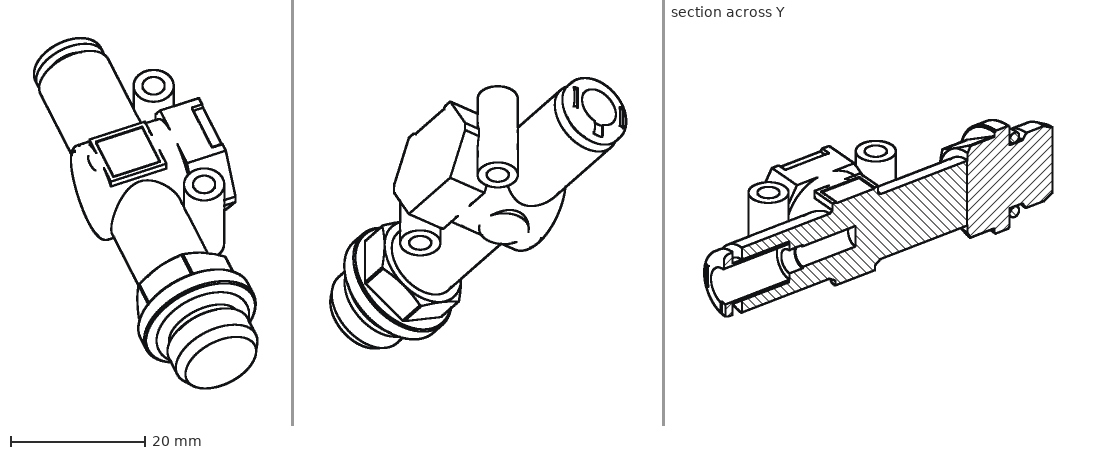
import cadquery as cq
import math


TOTAL_LENGTH = 61.3
TUBE_START = 3.4
NUT_START = 45.4
FLANGE_START = 50.45
GROOVE_START = 53.3
CROSS_X = 24.5

BUSHING_FLANGE_D = 11.0
BUSHING_FACE_D = 9.0
BUSHING_FLANGE_LENGTH = 1.7
BUSHING_NECK_D = 7.2
BUSHING_BORE_D = 6.2
BUSHING_LENGTH = 12.25
FACE_POCKET_DEPTH = 0.3
FACE_SLOT_WIDTH = 0.7
FACE_SLOT_LENGTH = 3.6
KEY_NOTCH_WIDTH = 1.55

TUBE_D = 11.4
SEAT_D = 4.0
SEAT_LENGTH = 2.45
PASSAGE_D = 3.5

BODY_HEIGHT = 14.5
BARREL_D = 14.85
BARREL_FRONT_Y = -6.45
BARREL_RIM_RADIUS = 0.8
UNDERSIDE_BOSS_D = 7.4

BLOCK_FRONT_Y = 7.35
BLOCK_BACK_Y = 13.6
BLOCK_WIDTH = 18.4
BLOCK_TOP_WIDTH = 10.65
BLOCK_SIDE_FLAT = 1.35
RECESS_WIDTH = 8.1
RECESS_LENGTH = 1.65
RECESS_DEPTH = 0.35

PLATE_WIDTH = 8.5
PLATE_LENGTH = 8.95
PLATE_THICKNESS = 1.35
PLATE_BORDER = 0.75
LABEL_DEPTH = 0.2

LUG_D = 6.0
LUG_HOLE_D = 3.3
LUG_SPACING = 20.0
LUG_Y = 8.2

HEX_ACROSS_FLATS = 14.05
HEX_CORNER_D = 16.05
HEX_FACE_D = 14.0
HEX_CHAMFER_LENGTH = 0.55
FLANGE_D = 18.0
FLANGE_CHAMFER = 0.25
GROOVE_D = 11.1
GROOVE_LENGTH = 2.4
THREAD_D = 13.2
THREAD_RAMP = 0.7
THREAD_TIP_D = 11.4
THREAD_TIP_LENGTH = 1.65

ORING_SECTION_D = 1.85

HALF_HEIGHT = BODY_HEIGHT / 2


def rod(start, end, diameter):
    """Cylinder on the flow axis between two X positions."""
    return cq.Workplane("YZ", origin=(start, 0, 0)).circle(diameter / 2).extrude(end - start)


def box(center_x, center_y, center_z, length_x, length_y, length_z):
    """Axis-aligned box placed by its centre."""
    return cq.Workplane("XY").box(length_x, length_y, length_z).translate((center_x, center_y, center_z))


def make_bushing():
    rim_radius = (BUSHING_FLANGE_D - BUSHING_FACE_D) / 2
    bushing = rod(0, BUSHING_FLANGE_LENGTH, BUSHING_FLANGE_D).faces("<X").edges().fillet(rim_radius)
    bushing = bushing.union(rod(0, BUSHING_LENGTH, BUSHING_NECK_D))
    bushing = bushing.cut(rod(0, BUSHING_LENGTH, BUSHING_BORE_D))

    pocket_x = FACE_POCKET_DEPTH / 2
    slot_y = (BUSHING_FACE_D - FACE_SLOT_WIDTH) / 2
    for side in (-1, 1):
        bushing = bushing.cut(
            box(pocket_x, side * slot_y, 0, FACE_POCKET_DEPTH, FACE_SLOT_WIDTH, FACE_SLOT_LENGTH)
        )
    notch_height = BUSHING_FLANGE_D / 2
    return bushing.cut(
        box(pocket_x, 0, -notch_height / 2, FACE_POCKET_DEPTH, KEY_NOTCH_WIDTH, notch_height)
    )


def make_barrel():
    """Barrel across the tube, with flats on its top and bottom and a boss underneath."""
    length = BLOCK_FRONT_Y - BARREL_FRONT_Y
    barrel = (
        cq.Workplane("XZ", origin=(CROSS_X, BLOCK_FRONT_Y, 0))
        .circle(BARREL_D / 2)
        .extrude(length)
        .faces("<Y").edges().fillet(BARREL_RIM_RADIUS)
    )
    barrel = barrel.intersect(box(CROSS_X, 0, 0, 2 * BARREL_D, 4 * length, BODY_HEIGHT))
    boss = cq.Workplane("XY", origin=(CROSS_X, 0, 0)).circle(UNDERSIDE_BOSS_D / 2).extrude(-HALF_HEIGHT)
    return barrel.union(boss)


def make_block():
    """Six-sided block with blunt side corners and a shallow recess at its top back edge."""
    half_width = BLOCK_WIDTH / 2
    half_top = BLOCK_TOP_WIDTH / 2
    half_flat = BLOCK_SIDE_FLAT / 2
    block = (
        cq.Workplane("XZ", origin=(CROSS_X, BLOCK_BACK_Y, 0))
        .moveTo(half_top, HALF_HEIGHT)
        .lineTo(half_width, half_flat)
        .lineTo(half_width, -half_flat)
        .lineTo(half_top, -HALF_HEIGHT)
        .lineTo(-half_top, -HALF_HEIGHT)
        .lineTo(-half_width, -half_flat)
        .lineTo(-half_width, half_flat)
        .lineTo(-half_top, HALF_HEIGHT)
        .close()
        .extrude(BLOCK_BACK_Y - BLOCK_FRONT_Y)
    )
    half_recess = RECESS_WIDTH / 2
    recess = (
        cq.Workplane("XZ", origin=(CROSS_X, BLOCK_BACK_Y, HALF_HEIGHT))
        .moveTo(-half_recess, 0)
        .lineTo(RECESS_DEPTH - half_recess, -RECESS_DEPTH)
        .lineTo(half_recess - RECESS_DEPTH, -RECESS_DEPTH)
        .lineTo(half_recess, 0)
        .close()
        .extrude(RECESS_LENGTH)
    )
    return block.cut(recess)


def make_label_plate():
    return box(CROSS_X, 0, HALF_HEIGHT - PLATE_THICKNESS / 2, PLATE_WIDTH, PLATE_LENGTH, PLATE_THICKNESS)


def make_label_recess():
    """Shallow rectangular recess that leaves a border around the label plate."""
    label_width = PLATE_WIDTH - 2 * PLATE_BORDER
    label_length = PLATE_LENGTH - 2 * PLATE_BORDER
    return box(CROSS_X, 0, HALF_HEIGHT - LABEL_DEPTH / 2, label_width, label_length, LABEL_DEPTH)


def make_lug_cylinders(diameter):
    """Pair of vertical cylinders at the lug centres, over the full body height."""
    return (
        cq.Workplane("XY", origin=(CROSS_X, LUG_Y, -HALF_HEIGHT))
        .pushPoints([(-LUG_SPACING / 2, 0), (LUG_SPACING / 2, 0)])
        .circle(diameter / 2)
        .extrude(BODY_HEIGHT)
    )


def make_housing():
    housing = rod(TUBE_START, NUT_START, TUBE_D).union(make_barrel()).union(make_block())
    housing = housing.union(make_label_plate()).cut(make_label_recess())
    housing = housing.union(make_lug_cylinders(LUG_D)).cut(make_lug_cylinders(LUG_HOLE_D))

    seat_end = BUSHING_LENGTH + SEAT_LENGTH
    housing = housing.cut(rod(TUBE_START, BUSHING_LENGTH, BUSHING_NECK_D))
    housing = housing.cut(rod(BUSHING_LENGTH, seat_end, SEAT_D))
    return housing.cut(rod(seat_end, CROSS_X, PASSAGE_D))


def make_hex():
    """Hexagon with corners up and down, trimmed to a corner diameter and a chamfered end."""
    corner_to_corner = HEX_ACROSS_FLATS / math.cos(math.pi / 6)
    hexagon = (
        cq.Workplane("YZ", origin=(NUT_START, 0, 0))
        .transformed(rotate=(0, 0, 90))
        .polygon(6, corner_to_corner)
        .extrude(FLANGE_START - NUT_START)
    )
    envelope = (
        cq.Workplane("XY")
        .moveTo(NUT_START, 0)
        .lineTo(NUT_START, HEX_FACE_D / 2)
        .lineTo(NUT_START + HEX_CHAMFER_LENGTH, HEX_CORNER_D / 2)
        .lineTo(FLANGE_START, HEX_CORNER_D / 2)
        .lineTo(FLANGE_START, 0)
        .close()
        .revolve(360, (0, 0, 0), (1, 0, 0))
    )
    return hexagon.intersect(envelope)


def make_fitting():
    flange = rod(FLANGE_START, GROOVE_START, FLANGE_D).edges().chamfer(FLANGE_CHAMFER)
    groove_end = GROOVE_START + GROOVE_LENGTH
    stem = (
        cq.Workplane("XY")
        .moveTo(FLANGE_START, 0)
        .lineTo(FLANGE_START, GROOVE_D / 2)
        .lineTo(groove_end, GROOVE_D / 2)
        .lineTo(groove_end + THREAD_RAMP, THREAD_D / 2)
        .lineTo(TOTAL_LENGTH - THREAD_TIP_LENGTH, THREAD_D / 2)
        .lineTo(TOTAL_LENGTH, THREAD_TIP_D / 2)
        .lineTo(TOTAL_LENGTH, 0)
        .close()
        .revolve(360, (0, 0, 0), (1, 0, 0))
    )
    return make_hex().union(flange).union(stem)


def make_oring():
    """Ring resting on the groove floor and against the flange."""
    section_radius = ORING_SECTION_D / 2
    return (
        cq.Workplane("XY")
        .center(GROOVE_START + section_radius, GROOVE_D / 2 + section_radius)
        .circle(section_radius)
        .revolve(360, (0, -GROOVE_D / 2 - section_radius, 0), (1, -GROOVE_D / 2 - section_radius, 0))
    )


bushing = make_bushing()
housing = make_housing()
fitting = make_fitting()
oring = make_oring()

result = cq.Compound.makeCompound([bushing.val(), housing.val(), fitting.val(), oring.val()])